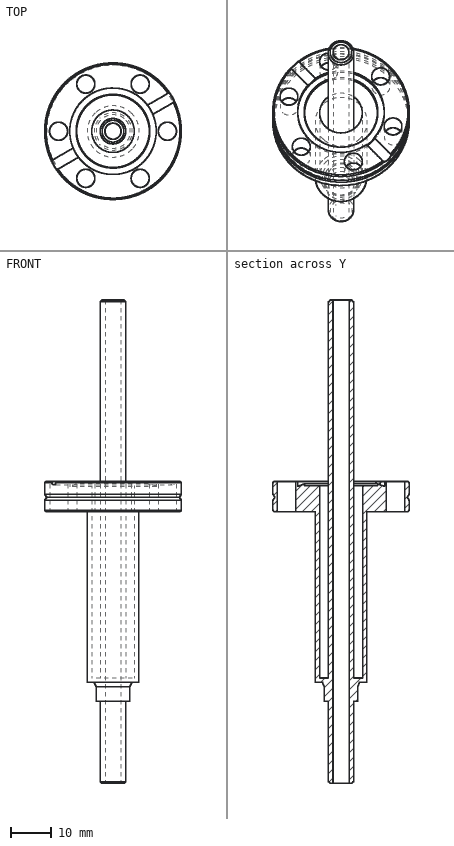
import cadquery as cq
import math

tube_length = 120.0
tube_radius = 6.4 / 2
tube_bore_radius = 4.0 / 2
tube_end_chamfer = 0.5

collar_bottom = 20.4
collar_radius = 8.4 / 2
collar_flare = 0.5
collar_flare_height = 1.1
sleeve_bottom = 25.1
sleeve_radius = 12.8 / 2
sleeve_bore_radius = 10.5 / 2

flange_bottom = 67.5
flange_top = 75.0
flange_radius = 34.0 / 2
flange_edge_chamfer = 0.4
rim_groove_bottom = 70.3
rim_groove_height = 1.5
rim_groove_depth = 0.5

seat_radius = 21.5 / 2
seat_depth = 1.2
knife_radius = 18.4 / 2
knife_tip_depth = 0.6
face_radius = 18.0 / 2
face_depth = 1.1

bolt_count = 6
bolt_circle_radius = 27.0 / 2
bolt_hole_diameter = 4.5
leak_groove_radius = 1.5
leak_groove_width = 2.6
leak_groove_angles = (30, 210)


def cylinder(radius, bottom, top):
    return cq.Workplane("XY").workplane(offset=bottom).circle(radius).extrude(top - bottom)


def revolve_profile(points):
    """Revolve a closed outline of (radius, z) points about the Z axis."""
    return cq.Workplane("XZ").polyline(points).close().revolve(360, (0, 0, 0), (0, 1, 0))


def make_tube():
    return cylinder(tube_radius, 0, tube_length).faces("<Z or >Z").chamfer(tube_end_chamfer)


def make_collar():
    """Collar that flares out where it meets the closed end of the sleeve."""
    flare_start = sleeve_bottom - collar_flare_height
    return revolve_profile([
        (0, collar_bottom),
        (collar_radius, collar_bottom),
        (collar_radius, flare_start),
        (collar_radius + collar_flare, sleeve_bottom),
        (0, sleeve_bottom),
    ])


def make_flange():
    """Disc with chamfered edges and a V-shaped groove around its rim."""
    flange = cylinder(flange_radius, flange_bottom, flange_top)
    flange = flange.faces("<Z or >Z").chamfer(flange_edge_chamfer)
    groove = revolve_profile([
        (flange_radius, rim_groove_bottom),
        (flange_radius, rim_groove_bottom + rim_groove_height),
        (flange_radius - rim_groove_depth, rim_groove_bottom + rim_groove_height / 2),
    ])
    return flange.cut(groove)


def make_knife_edge_recess():
    return revolve_profile([
        (0, flange_top),
        (seat_radius, flange_top),
        (seat_radius, flange_top - seat_depth),
        (knife_radius, flange_top - knife_tip_depth),
        (face_radius, flange_top - face_depth),
        (0, flange_top - face_depth),
    ])


def make_bolt_holes():
    return (
        cq.Workplane("XY")
        .workplane(offset=flange_bottom)
        .polarArray(bolt_circle_radius, 0, 360, bolt_count)
        .circle(bolt_hole_diameter / 2)
        .extrude(flange_top - flange_bottom)
    )


def make_leak_groove(angle):
    """Round-bottomed radial groove from the seat out through the rim."""
    axis_height = math.sqrt(leak_groove_radius**2 - (leak_groove_width / 2) ** 2)
    groove_start = (seat_radius + knife_radius) / 2
    groove = (
        cq.Workplane("YZ")
        .workplane(offset=groove_start)
        .center(0, flange_top + axis_height)
        .circle(leak_groove_radius)
        .extrude(flange_radius - groove_start)
    )
    return groove.rotate((0, 0, 0), (0, 0, 1), angle)


body = make_flange().union(cylinder(sleeve_radius, sleeve_bottom, flange_bottom))
body = body.cut(make_knife_edge_recess()).cut(make_bolt_holes())
for groove_angle in leak_groove_angles:
    body = body.cut(make_leak_groove(groove_angle))
body = body.cut(cylinder(sleeve_bore_radius, sleeve_bottom, flange_top))

end_wall = cylinder(sleeve_radius, sleeve_bottom, sleeve_bottom + sleeve_radius - sleeve_bore_radius)
result = body.union(end_wall).union(make_collar()).union(make_tube())
result = result.cut(cylinder(tube_bore_radius, 0, tube_length))